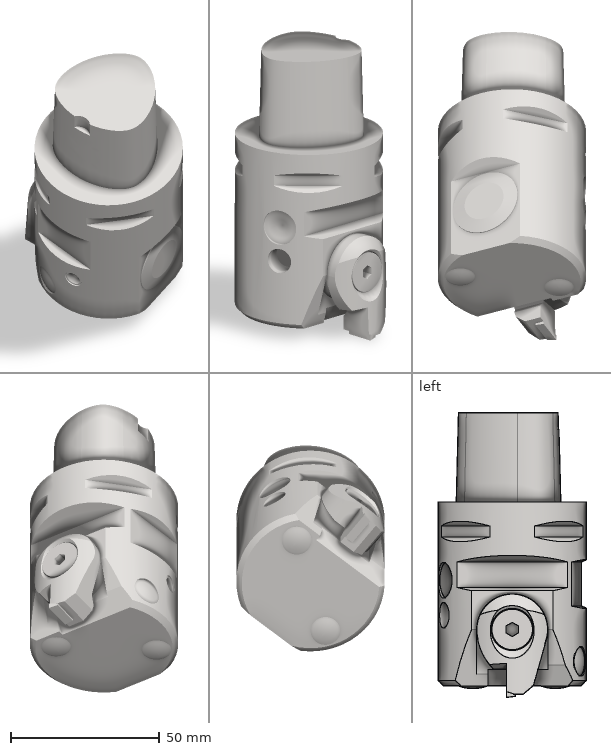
import cadquery as cq
import math


BODY_R = 25.01
BODY_BOTTOM = -62.0
BODY_CHAMFER = 1.8
REACH = 38.4

SHANK_HEIGHT = 30.0
SHANK_MEAN_R = 17.7
SHANK_LOBE = 1.2
SHANK_TAPER = 1 / 20
FLAT_HALF_ANGLE = 24
SHANK_STEPS = 6
NOTCH_R = 3.98
NOTCH_Y = -18.0
NOTCH_DEPTH = 5.7

GRIP_FLOOR = 22.2
GRIP_TOP = -8.2
GRIP_BOTTOM = -11.8
GRIP_SLOPE = 30

GROOVE_FLOOR = 16.7
GROOVE_TOP = -20.3
GROOVE_BOTTOM = -28.8
POCKET_FLOOR = 21.9
POCKET_TOP = GROOVE_TOP
POCKET_BOTTOM = -35.1
POCKET_ANGLE = 262
GROOVE_SLOPE = 15

SLIDE_Z = -43.0
CUTTER_FLAT_X = -20.9
LEAN_SLOPE = 16
SLOT_R = 12.0
SLOT_FLOOR_X = -16.6
RELIEF_TOP = -56.5
RELIEF_SLOPE = 30
RELIEF_SIDE_Y = 8.2
DIAL_FLAT_X = 21.5
DIAL_FLAT_TOP = -27.0

SIDE_HOLE_ANGLE = 112
LARGE_HOLE_Z = -26.4
LARGE_HOLE_D = 12.0
LARGE_HOLE_DEPTH = 1.2
LARGE_HOLE_CONE = 1.9
SMALL_HOLE_Z = -38.2
SMALL_HOLE_D = 8.5
SMALL_HOLE_DEPTH = 7.7

SLIDE_R = 11.9
SLIDE_FRONT_X = -20.6
SLIDE_BACK_X = -9.6
DIAL_R = SLIDE_R
DIAL_INNER_X = 17.3
DIAL_FACE_X = 22.8
DIAL_RIM = 0.4
DIAL_FACE_R = 7.2

SCREW_HEAD_R = 6.8
SCREW_HEAD_X = -28.1
SCREW_SEAT_X = -24.5
SCREW_STEM_R = 3.98
SCREW_TIP_X = -12.5
HEX_FLATS = 4.1
HEX_DEPTH = 3.8

CUTTER_R = 12.0
CUTTER_BACK_X = -21.2
CUTTER_BOTTOM = -64.9
FOOT_BACK_X = -18.8
FOOT_TOP = -60.1
FOOT_SLOPE_TOP = -57.3
ARM_LEAN = 15.7
ARM_CORNER_Y = -3.6
ARM_CORNER_Z = -61.9
FLANK_MIDDLE = (10.2, -50.9)
ARM_FACE_Y = 2.0
FRONT_R = 16.6
FRONT_APEX_X = -31.2
FRONT_TILT = 3.3
RIM_X = -25.5
RIM_MIDDLE = (-27.4, 10.2)
RIM_END = (-29.1, 7.7)
DOME_TIP_X = -29.8
BORE_R = 7.1
FLARE_X = -27.9
LEDGE_FRONT_Z = -54.3
LEDGE_BACK_Z = -56.4
LEDGE_CORNER_Y = 6.3

TIP_X = -31.73
TIP_Z = -66.0
INSERT_BACK_X = -21.4
INSERT_TOP = -63.9
INSERT_BACK_Y = -1.1
TIP_RELIEF = 0.7
TIP_RISE = 0.4

PLUG_R = 5.0
PLUG_LENGTH = 3.8
PLUG_DOME = 1.0
FRONT_PLUG_ANGLE = 248
FRONT_PLUG_Z = -53.8
FRONT_PLUG_RIM = 24.3
BOTTOM_PLUG_CENTRES = [(-9.2, 13.2), (10.2, -14.5)]

NIPPLE_ANGLE = 276.3
NIPPLE_Z = SLIDE_Z
NIPPLE_HOLE_R = 3.12
NIPPLE_R = 3.0
NIPPLE_FACE = 24.7
NIPPLE_LENGTH = 4.8
NIPPLE_MOUTH_R = 2.5
NIPPLE_CONE_DEPTH = 1.9
NIPPLE_CONE_R = 0.8
NIPPLE_BORE_R = 0.5


def tan(degrees):
    return math.tan(math.radians(degrees))


def x_cylinder(radius, x_start, x_end):
    """Cylinder on the slide axis, which runs along X."""
    plane = cq.Workplane("YZ", origin=(x_start, 0, SLIDE_Z))
    return plane.circle(radius).extrude(x_end - x_start)


def side_prism(points, y_start, y_end):
    """Outline in (X, Z) extruded along Y."""
    return cq.Workplane("XZ", origin=(0, y_start, 0)).polyline(points).close().extrude(y_start - y_end)


def radial_revolve(points, angle, height):
    """(distance from Z, radius) outline turned about a radial axis at the given angle and height."""
    turned = cq.Workplane("XZ").polyline(points).close().revolve(360, (0, 0, 0), (1, 0, 0))
    return turned.rotate((0, 0, 0), (0, 0, 1), angle).translate((0, 0, height))


def chord_groove(angle, floor, top, bottom, slope):
    """Straight groove across the body at the given angle, with sloped upper and lower walls."""
    rise = (REACH - floor) * tan(slope)
    outline = [(floor, top), (floor, bottom), (REACH, bottom - rise), (REACH, top + rise)]
    return side_prism(outline, -REACH, REACH).rotate((0, 0, 0), (0, 0, 1), angle)


def shank_point(normal_angle, mean_radius):
    """Point of the three-lobed constant-width outline whose outward normal has this angle."""
    a = math.radians(normal_angle)
    phase = math.radians(3 * (normal_angle - 90))
    support = mean_radius + SHANK_LOBE * math.cos(phase)
    slope = -3 * SHANK_LOBE * math.sin(phase)
    return (
        support * math.cos(a) - slope * math.sin(a),
        support * math.sin(a) + slope * math.cos(a),
    )


def shank_wire(height):
    """Shank outline at a height: three flats and three lobes, each one curve."""
    mean_radius = SHANK_MEAN_R - SHANK_TAPER / 2 * height
    edges = []
    for flat_angle in (30, 150, 270):
        flat_start = flat_angle - FLAT_HALF_ANGLE
        flat_end = flat_angle + FLAT_HALF_ANGLE
        for start, end in ((flat_start, flat_end), (flat_end, flat_start + 120)):
            points = []
            for step in range(SHANK_STEPS + 1):
                x, y = shank_point(start + (end - start) * step / SHANK_STEPS, mean_radius)
                points.append(cq.Vector(x, y, height))
            tangents = [
                cq.Vector(-math.sin(math.radians(a)), math.cos(math.radians(a)), 0) for a in (start, end)
            ]
            edges.append(cq.Edge.makeSpline(points, tangents=tangents))
    return cq.Wire.assembleEdges(edges)


def make_shank():
    shank = cq.Workplane(cq.Solid.makeLoft([shank_wire(0), shank_wire(SHANK_HEIGHT)], True))
    notch_plane = cq.Workplane("XY", origin=(0, NOTCH_Y, SHANK_HEIGHT - NOTCH_DEPTH))
    return shank.cut(notch_plane.circle(NOTCH_R).extrude(REACH))


def slide_side_cuts():
    """Flat, bevels and slot on the -X side, around the slide."""
    lean_x = CUTTER_FLAT_X + (SLIDE_Z - BODY_BOTTOM) * tan(LEAN_SLOPE)
    flat = side_prism(
        [
            (CUTTER_FLAT_X, GROOVE_BOTTOM),
            (CUTTER_FLAT_X, SLIDE_Z),
            (lean_x, BODY_BOTTOM),
            (-REACH, BODY_BOTTOM),
            (-REACH, GROOVE_BOTTOM),
        ],
        -REACH,
        REACH,
    )
    relief_rise = (REACH + SLOT_FLOOR_X) / tan(RELIEF_SLOPE)
    relief_bottom_x = SLOT_FLOOR_X + (RELIEF_TOP - BODY_BOTTOM) * tan(RELIEF_SLOPE)
    relief = side_prism(
        [
            (relief_bottom_x, BODY_BOTTOM),
            (-REACH, BODY_BOTTOM),
            (-REACH, RELIEF_TOP + relief_rise),
        ],
        -REACH,
        RELIEF_SIDE_Y,
    )
    slot_drop = SLIDE_Z - BODY_BOTTOM
    slot_depth = REACH + SLOT_FLOOR_X
    slot = x_cylinder(SLOT_R, -REACH, SLOT_FLOOR_X).union(
        cq.Workplane("XY")
        .box(slot_depth, 2 * SLOT_R, slot_drop, centered=(False, True, False))
        .translate((-REACH, 0, BODY_BOTTOM))
    )
    return [flat, relief, slot]


def dial_side_cut():
    """Flat on the +X side, led in by a 45 degree bevel."""
    bevel = BODY_R - DIAL_FLAT_X
    return side_prism(
        [
            (BODY_R, DIAL_FLAT_TOP),
            (DIAL_FLAT_X, DIAL_FLAT_TOP - bevel),
            (DIAL_FLAT_X, BODY_BOTTOM),
            (REACH, BODY_BOTTOM),
            (REACH, DIAL_FLAT_TOP),
        ],
        -REACH,
        REACH,
    )


def side_holes():
    """Two blind radial holes on the +Y side."""
    large_r = LARGE_HOLE_D / 2
    large_floor = BODY_R - LARGE_HOLE_DEPTH
    large = [(large_floor - LARGE_HOLE_CONE, 0), (large_floor, large_r), (REACH, large_r), (REACH, 0)]
    small_r = SMALL_HOLE_D / 2
    small_floor = BODY_R - SMALL_HOLE_DEPTH
    small = [(small_floor, 0), (small_floor, small_r), (REACH, small_r), (REACH, 0)]
    return [
        radial_revolve(large, SIDE_HOLE_ANGLE, LARGE_HOLE_Z),
        radial_revolve(small, SIDE_HOLE_ANGLE, SMALL_HOLE_Z),
    ]


def body_seats():
    """Recesses for the slide, dial, plugs and nipple."""
    plug_floor = FRONT_PLUG_RIM - PLUG_LENGTH
    plug_seat = [(plug_floor, 0), (plug_floor, PLUG_R), (REACH, PLUG_R), (REACH, 0)]
    nipple_floor = NIPPLE_FACE - NIPPLE_LENGTH
    nipple_seat = [(nipple_floor, 0), (nipple_floor, NIPPLE_HOLE_R), (REACH, NIPPLE_HOLE_R), (REACH, 0)]
    bottom_seats = (
        cq.Workplane("XY", origin=(0, 0, BODY_BOTTOM))
        .pushPoints(BOTTOM_PLUG_CENTRES)
        .circle(PLUG_R)
        .extrude(PLUG_LENGTH)
    )
    return [
        x_cylinder(SLIDE_R, SLOT_FLOOR_X, SLIDE_BACK_X),
        x_cylinder(DIAL_R, DIAL_INNER_X, DIAL_FLAT_X),
        radial_revolve(plug_seat, FRONT_PLUG_ANGLE, FRONT_PLUG_Z),
        radial_revolve(nipple_seat, NIPPLE_ANGLE, NIPPLE_Z),
        bottom_seats,
    ]


def make_housing():
    body = cq.Workplane("XY", origin=(0, 0, BODY_BOTTOM)).circle(BODY_R).extrude(-BODY_BOTTOM)
    body = body.faces("<Z").chamfer(BODY_CHAMFER)
    cuts = [chord_groove(a, GRIP_FLOOR, GRIP_TOP, GRIP_BOTTOM, GRIP_SLOPE) for a in (45, 135, 225, 315)]
    cuts.append(chord_groove(180, GROOVE_FLOOR, GROOVE_TOP, GROOVE_BOTTOM, GROOVE_SLOPE))
    cuts.append(chord_groove(POCKET_ANGLE, POCKET_FLOOR, POCKET_TOP, POCKET_BOTTOM, GROOVE_SLOPE))
    cuts.append(dial_side_cut())
    cuts += slide_side_cuts() + side_holes() + body_seats()
    for cut in cuts:
        body = body.cut(cut)
    return body.union(make_shank())


def screw_envelope():
    """Head and stem without the hex socket, also used to bore the parts it clamps."""
    head = x_cylinder(SCREW_HEAD_R, SCREW_HEAD_X, SCREW_SEAT_X)
    return head.union(x_cylinder(SCREW_STEM_R, SCREW_SEAT_X, SCREW_TIP_X))


def make_screw():
    corner_diameter = HEX_FLATS / math.cos(math.radians(30))
    socket = (
        cq.Workplane("YZ", origin=(SCREW_HEAD_X, 0, SLIDE_Z))
        .polygon(6, corner_diameter)
        .extrude(HEX_DEPTH)
        .rotate((0, 0, SLIDE_Z), (1, 0, SLIDE_Z), 90)
    )
    return screw_envelope().cut(socket)


def make_slide():
    return x_cylinder(SLIDE_R, SLIDE_FRONT_X, SLIDE_BACK_X).cut(screw_envelope())


def make_dial():
    """Round dial with a bevelled rim, let into the +X flat."""
    outline = [
        (DIAL_INNER_X, 0),
        (DIAL_INNER_X, DIAL_R),
        (DIAL_FLAT_X + DIAL_RIM, DIAL_R),
        (DIAL_FACE_X, DIAL_FACE_R),
        (DIAL_FACE_X, 0),
    ]
    return radial_revolve(outline, 0, SLIDE_Z)


def make_insert():
    """Small cutting bar along X, with relief behind its tip."""
    section = (
        cq.Workplane("YZ", origin=(TIP_X, 0, 0))
        .polyline(
            [
                (ARM_FACE_Y, INSERT_TOP),
                (INSERT_BACK_Y, CUTTER_BOTTOM),
                (INSERT_BACK_Y, TIP_Z + TIP_RISE),
                (ARM_FACE_Y, TIP_Z),
            ]
        )
        .close()
        .extrude(INSERT_BACK_X - TIP_X)
    )
    plan = (
        cq.Workplane("XY", origin=(0, 0, TIP_Z))
        .polyline(
            [
                (TIP_X, ARM_FACE_Y),
                (INSERT_BACK_X, ARM_FACE_Y),
                (INSERT_BACK_X, INSERT_BACK_Y),
                (TIP_X + TIP_RELIEF, INSERT_BACK_Y),
            ]
        )
        .close()
        .extrude(INSERT_TOP - TIP_Z)
    )
    return section.intersect(plan)


def cutter_outline():
    """Round head with an arm hanging below it, seen along X, as a long prism."""
    lean = math.radians(ARM_LEAN)
    tangent_y = -CUTTER_R * math.cos(lean)
    tangent_z = SLIDE_Z - CUTTER_R * math.sin(lean)
    corner_y = tangent_y + (tangent_z - ARM_CORNER_Z) * math.tan(lean)
    return (
        cq.Workplane("YZ", origin=(-REACH, 0, 0))
        .moveTo(CUTTER_R, SLIDE_Z)
        .threePointArc((0, SLIDE_Z + CUTTER_R), (tangent_y, tangent_z))
        .lineTo(corner_y, ARM_CORNER_Z)
        .lineTo(ARM_CORNER_Y, CUTTER_BOTTOM)
        .lineTo(ARM_FACE_Y, CUTTER_BOTTOM)
        .lineTo(ARM_FACE_Y, LEDGE_BACK_Z)
        .lineTo(LEDGE_CORNER_Y, LEDGE_BACK_Z)
        .threePointArc(FLANK_MIDDLE, (CUTTER_R, SLIDE_Z))
        .close()
        .extrude(REACH + FOOT_BACK_X)
    )


def make_cutter():
    side = side_prism(
        [
            (-REACH, SLIDE_Z + CUTTER_R),
            (CUTTER_BACK_X, SLIDE_Z + CUTTER_R),
            (CUTTER_BACK_X, FOOT_SLOPE_TOP),
            (FOOT_BACK_X, FOOT_TOP),
            (FOOT_BACK_X, CUTTER_BOTTOM),
            (-REACH, CUTTER_BOTTOM),
        ],
        -REACH,
        REACH,
    )
    front = (
        cq.Workplane("XY", origin=(FRONT_APEX_X + FRONT_R, 0, CUTTER_BOTTOM - REACH))
        .circle(FRONT_R)
        .extrude(3 * REACH)
        .rotate((FRONT_APEX_X, 0, CUTTER_BOTTOM), (FRONT_APEX_X, 1, CUTTER_BOTTOM), FRONT_TILT)
    )
    dome = (
        cq.Workplane("XZ")
        .moveTo(FOOT_BACK_X, 0)
        .lineTo(FOOT_BACK_X, CUTTER_R)
        .lineTo(RIM_X, CUTTER_R)
        .threePointArc(RIM_MIDDLE, RIM_END)
        .lineTo(DOME_TIP_X, 0)
        .close()
        .revolve(360, (0, 0, 0), (1, 0, 0))
        .translate((0, 0, SLIDE_Z))
    )
    upper = (
        cq.Workplane("XY", origin=(FOOT_BACK_X - REACH, 0, SLIDE_Z))
        .box(2 * REACH, REACH, REACH, centered=(True, True, False))
    )
    rim_waste = upper.cut(dome)
    ledge = side_prism(
        [
            (-REACH, LEDGE_BACK_Z),
            (CUTTER_BACK_X, LEDGE_BACK_Z),
            (FRONT_APEX_X, LEDGE_FRONT_Z),
            (-REACH, LEDGE_FRONT_Z),
        ],
        ARM_FACE_Y,
        REACH,
    )
    flare = REACH + FLARE_X
    bore = [
        (SCREW_SEAT_X, 0),
        (SCREW_SEAT_X, BORE_R),
        (FLARE_X, BORE_R),
        (-REACH, BORE_R + flare),
        (-REACH, 0),
    ]
    cutter = cutter_outline().intersect(side).intersect(front).cut(rim_waste)
    cutter = cutter.cut(ledge).cut(radial_revolve(bore, 0, SLIDE_Z)).cut(screw_envelope())
    return cutter.cut(make_insert())


def make_plug():
    """Plug along +Z with a spherical dome, its rim at Z = 0."""
    dome_r = (PLUG_R**2 + PLUG_DOME**2) / (2 * PLUG_DOME)
    middle_height = math.sqrt(dome_r**2 - (PLUG_R / 2) ** 2) - dome_r + PLUG_DOME
    return (
        cq.Workplane("XZ")
        .moveTo(0, -PLUG_LENGTH)
        .lineTo(PLUG_R, -PLUG_LENGTH)
        .lineTo(PLUG_R, 0)
        .threePointArc((PLUG_R / 2, middle_height), (0, PLUG_DOME))
        .close()
        .revolve(360, (0, 0, 0), (0, 1, 0))
    )


def make_front_plug():
    plug = make_plug().rotate((0, 0, 0), (0, 1, 0), 90).translate((FRONT_PLUG_RIM, 0, FRONT_PLUG_Z))
    return plug.rotate((0, 0, 0), (0, 0, 1), FRONT_PLUG_ANGLE)


def make_bottom_plugs():
    flipped = make_plug().rotate((0, 0, 0), (1, 0, 0), 180)
    return [flipped.translate((x, y, BODY_BOTTOM)) for x, y in BOTTOM_PLUG_CENTRES]


def make_nipple():
    """Nipple with a conical mouth and a fine bore."""
    back = NIPPLE_FACE - NIPPLE_LENGTH
    throat = NIPPLE_FACE - NIPPLE_CONE_DEPTH
    outline = [
        (back, NIPPLE_BORE_R),
        (back, NIPPLE_R),
        (NIPPLE_FACE, NIPPLE_R),
        (NIPPLE_FACE, NIPPLE_MOUTH_R),
        (throat, NIPPLE_CONE_R),
        (throat, NIPPLE_BORE_R),
    ]
    return radial_revolve(outline, NIPPLE_ANGLE, NIPPLE_Z)


housing = make_housing()
slide = make_slide()
dial = make_dial()
screw = make_screw()
cutter = make_cutter()
insert = make_insert()
front_plug = make_front_plug()
bottom_plugs = make_bottom_plugs()
nipple = make_nipple()

bodies = [housing, slide, dial, screw, cutter, insert, front_plug, *bottom_plugs, nipple]
result = cq.Compound.makeCompound([body.val() for body in bodies])